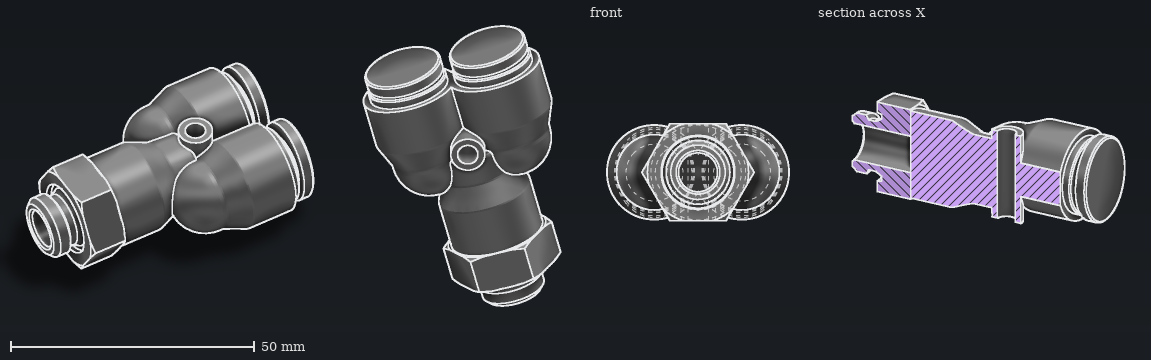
import cadquery as cq
import math


hex_front = 6.0
hex_back = 14.0
stem_cone_start = 24.0
stem_cone_end = 29.0
stem_end = 35.0
sphere_center = 34.0
branch_cone_start = 35.0
branch_cone_end = 40.0
eyelet_center = 37.0
housing_end = 50.0
guide_end = 51.85
flange_start = 53.0
sleeve_end = 55.4

branch_offset = 9.0
shell_radius = 19.5 / 2
waist_radius = 15.5 / 2
cone_blend_radius = 1.0
stem_end_fillet = 1.0
eyelet_radius = 7.0 / 2
eyelet_hole_diameter = 4.2

hex_across_flats = 20.0
hex_chamfer_radius = 10.4
hex_chamfer_angle = 22.0
thread_radius = 13.16 / 2
neck_radius = 11.2 / 2
thread_chamfer = 1.1
neck_start = 4.0
runout_angle = 30.0
flare_angle = 30.0
seat_radius = 15.2 / 2
seat_floor_radius = 14.75 / 2
seat_depth = 1.0
neck_end = 5.6
bore_radius = 8.0 / 2
bore_chamfer = 0.5

guide_radius = 16.5 / 2
guide_chamfer = 0.3
sleeve_neck_radius = 11.7 / 2
flange_half_width = 16.05 / 2
flange_half_height = 18.5 / 2
flange_chamfer = 0.35


def revolve_about_y(profile):
    """Turn a closed (radius, Y) profile around the Y axis."""
    return profile.close().revolve(360, (0, 0, 0), (0, 1, 0))


def cylinder_along_y(radius, start, end):
    """Solid cylinder on the Y axis between two Y positions."""
    return cq.Workplane("XZ", origin=(0, start, 0)).circle(radius).extrude(start - end)


def round_rim(solid, radius, y, fillet_radius):
    """Fillet the circular rim of the given radius around the Y axis at position y."""
    margin = 0.01
    rim_box = cq.selectors.BoxSelector(
        (-radius - margin, y - margin, -radius - margin),
        (radius + margin, y + margin, radius + margin),
        boundingbox=True,
    )
    return solid.edges(rim_box).fillet(fillet_radius)


def make_branch():
    """One port branch: full-size shell, cone to the waist, hemispherical end."""
    diagonal = waist_radius * math.sqrt(0.5)
    profile = (
        cq.Workplane("XY")
        .moveTo(0, sphere_center - waist_radius)
        .threePointArc((diagonal, sphere_center - diagonal), (waist_radius, sphere_center))
        .lineTo(waist_radius, branch_cone_start)
        .lineTo(shell_radius, branch_cone_end)
        .lineTo(shell_radius, housing_end)
        .lineTo(0, housing_end)
    )
    branch = revolve_about_y(profile)
    branch = round_rim(branch, waist_radius, branch_cone_start, cone_blend_radius)
    return round_rim(branch, shell_radius, branch_cone_end, cone_blend_radius)


def make_stem():
    """Centre stem: full-size shell by the nipple, cone to the waist, rounded end."""
    profile = (
        cq.Workplane("XY")
        .moveTo(0, hex_back)
        .lineTo(shell_radius, hex_back)
        .lineTo(shell_radius, stem_cone_start)
        .lineTo(waist_radius, stem_cone_end)
        .lineTo(waist_radius, stem_end)
        .lineTo(0, stem_end)
    )
    stem = revolve_about_y(profile)
    stem = round_rim(stem, shell_radius, stem_cone_start, cone_blend_radius)
    stem = round_rim(stem, waist_radius, stem_cone_end, cone_blend_radius)
    return round_rim(stem, waist_radius, stem_end, stem_end_fillet)


def make_housing():
    """Stem, two branches and the mounting eyelet as one solid."""
    housing = make_stem()
    for side in (-1, 1):
        housing = housing.union(make_branch().translate((side * branch_offset, 0, 0)))
    eyelet_plane = cq.Workplane("XY", origin=(0, eyelet_center, -shell_radius))
    housing = housing.union(eyelet_plane.circle(eyelet_radius).extrude(2 * shell_radius))
    hole = eyelet_plane.circle(eyelet_hole_diameter / 2).extrude(2 * shell_radius)
    return housing.cut(hole)


def make_hex():
    """Hexagon with flats facing +Z and -Z and chamfered corners at both ends."""
    corner_radius = hex_across_flats / math.sqrt(3)
    slope = math.tan(math.radians(hex_chamfer_angle))
    chamfer_depth = (corner_radius - hex_chamfer_radius) * slope
    prism = (
        cq.Workplane("XZ", origin=(0, hex_front, 0))
        .polygon(6, 2 * corner_radius)
        .extrude(hex_front - hex_back)
    )
    envelope = revolve_about_y(
        cq.Workplane("XY")
        .moveTo(0, hex_front)
        .lineTo(hex_chamfer_radius, hex_front)
        .lineTo(corner_radius, hex_front + chamfer_depth)
        .lineTo(corner_radius, hex_back - chamfer_depth)
        .lineTo(hex_chamfer_radius, hex_back)
        .lineTo(0, hex_back)
    )
    return prism.intersect(envelope)


def make_nipple():
    """Hexagon with a ring recess around a necked thread, bored through to the housing."""
    seat_floor = hex_front + seat_depth
    seat = revolve_about_y(
        cq.Workplane("XY")
        .moveTo(0, hex_front)
        .lineTo(seat_radius, hex_front)
        .lineTo(seat_floor_radius, seat_floor)
        .lineTo(0, seat_floor)
    )
    thread_step = thread_radius - neck_radius
    runout_length = thread_step * math.tan(math.radians(runout_angle))
    flare = (seat_floor - neck_end) * math.tan(math.radians(flare_angle))
    spigot = revolve_about_y(
        cq.Workplane("XY")
        .lineTo(neck_radius, 0)
        .lineTo(thread_radius, thread_chamfer)
        .lineTo(thread_radius, neck_start - runout_length)
        .lineTo(neck_radius, neck_start)
        .lineTo(neck_radius, neck_end)
        .lineTo(neck_radius + flare, seat_floor)
        .lineTo(0, seat_floor)
    )
    bore = revolve_about_y(
        cq.Workplane("XY")
        .lineTo(bore_radius + bore_chamfer, 0)
        .lineTo(bore_radius, bore_chamfer)
        .lineTo(bore_radius, hex_back)
        .lineTo(0, hex_back)
    )
    return make_hex().cut(seat).union(spigot).cut(bore)


def make_guide_ring():
    """Ring on the port face that the release sleeve slides through."""
    ring = cylinder_along_y(guide_radius, housing_end, guide_end)
    ring = ring.faces(">Y").edges().chamfer(guide_chamfer)
    return ring.cut(cylinder_along_y(sleeve_neck_radius, housing_end, guide_end))


def make_release_sleeve():
    """Round neck seated in the guide ring, with an oval push flange."""
    flange = (
        cq.Workplane("XZ", origin=(0, flange_start, 0))
        .ellipse(flange_half_width, flange_half_height)
        .extrude(flange_start - sleeve_end)
        .faces(">Y")
        .edges()
        .chamfer(flange_chamfer)
    )
    return flange.union(cylinder_along_y(sleeve_neck_radius, housing_end, flange_start))


housing = make_housing()
nipple = make_nipple()
guide_rings = []
release_sleeves = []
for side in (-1, 1):
    port_shift = (side * branch_offset, 0, 0)
    guide_rings.append(make_guide_ring().translate(port_shift).val())
    release_sleeves.append(make_release_sleeve().translate(port_shift).val())

result = cq.Compound.makeCompound([housing.val(), nipple.val(), *guide_rings, *release_sleeves])